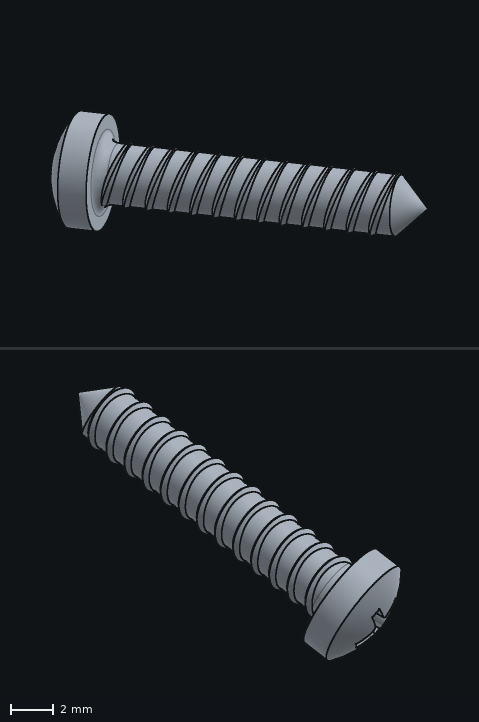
import cadquery as cq
import math

head_radius = 2.8
head_height = 2.4
rim_height = 1.4
shank_length = 16.0
core_radius = 1.47
neck_fillet = 0.6
tip_length = core_radius

ring_count = 13
ring_pitch = 1.1
first_ring_x = 0.68
ring_tilt = 20.0
ring_radius = 1.66
ring_root_radius = 1.4
flank_angle = 48.0

recess_depth = 1.7
recess_taper = 6.0
wing_length = 3.0
wing_width = 0.6
wing_corner_radius = 0.3


def screw_blank():
    """Domed head, filleted neck, plain shank and conical point, revolved about X."""
    dome_rise = head_height - rim_height
    dome_radius = (head_radius**2 + dome_rise**2) / (2 * dome_rise)
    mid_radius = head_radius / 2
    mid_x = -head_height + dome_radius - math.sqrt(dome_radius**2 - mid_radius**2)
    neck_radius = core_radius + neck_fillet
    fillet_offset = neck_fillet * (1 - math.sqrt(0.5))
    profile = (
        cq.Workplane("XY")
        .moveTo(-head_height, 0)
        .threePointArc((mid_x, mid_radius), (-rim_height, head_radius))
        .lineTo(0, head_radius)
        .lineTo(0, neck_radius)
        .threePointArc((fillet_offset, core_radius + fillet_offset), (neck_fillet, core_radius))
        .lineTo(shank_length - tip_length, core_radius)
        .lineTo(shank_length, 0)
        .close()
    )
    return profile.revolve(360, (0, 0, 0), (1, 0, 0))


def thread_ring(center_x):
    """One triangular ring around the shank, leaning towards the point at +Z."""
    half_width = (ring_radius - ring_root_radius) * math.tan(math.radians(flank_angle))
    ring = (
        cq.Workplane("XY")
        .moveTo(-half_width, ring_root_radius)
        .lineTo(0, ring_radius)
        .lineTo(half_width, ring_root_radius)
        .close()
        .revolve(360, (0, 0, 0), (1, 0, 0))
    )
    return ring.rotate((0, 0, 0), (0, 1, 0), ring_tilt).translate((center_x, 0, 0))


def quarter_turned(point, turns):
    """Rotate a 2D point about the origin by a number of quarter turns."""
    u, v = point
    for _ in range(turns):
        u, v = -v, u
    return u, v


def cross_recess():
    """Tapered cross with rounded inner corners, cut into the top of the head."""
    wing_end = wing_length / 2
    wing_side = wing_width / 2
    arc_start = wing_side + wing_corner_radius
    arc_middle = arc_start - wing_corner_radius * math.sqrt(0.5)
    mouth = cq.Workplane("YZ", origin=(-head_height, 0, 0))
    outline = mouth.moveTo(wing_end, -wing_side)
    for turns in range(4):
        wing_corner = quarter_turned((wing_end, wing_side), turns)
        arc_points = [(arc_start, wing_side), (arc_middle, arc_middle), (wing_side, arc_start)]
        start, middle, end = [quarter_turned(point, turns) for point in arc_points]
        outline = outline.lineTo(*wing_corner).lineTo(*start).threePointArc(middle, end)
        if turns < 3:
            outline = outline.lineTo(*quarter_turned((wing_side, wing_end), turns))
    return outline.close().extrude(recess_depth, taper=recess_taper)


result = screw_blank()
for index in range(ring_count):
    result = result.union(thread_ring(first_ring_x + index * ring_pitch))
result = result.cut(cross_recess())